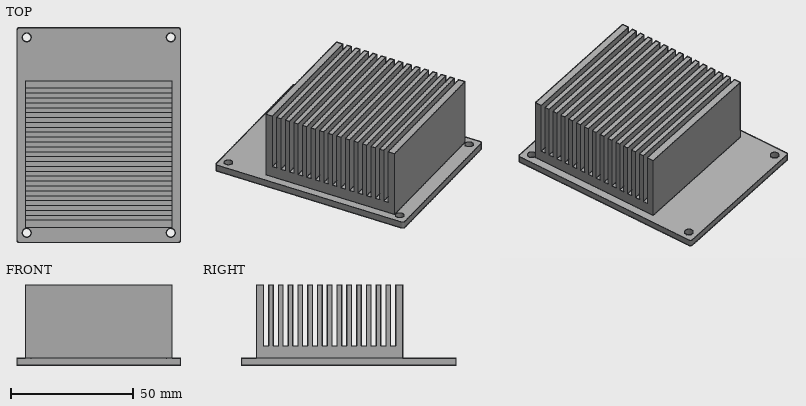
import cadquery as cq

plate_width = 67.0
plate_length = 88.0
plate_thickness = 3.0
corner_radius = 1.0

hole_diameter = 3.5
hole_spacing_x = 59.0
hole_spacing_y = 80.0

total_height = 33.0
block_side = 60.0
block_front_margin = 6.2
end_fin_thickness = 3.0
slot_count = 14
slot_depth = 25.0

inner_fin_count = slot_count - 1
slot_width = (block_side - 2 * end_fin_thickness) / (slot_count + inner_fin_count)
slot_pitch = 2 * slot_width

block_height = total_height - plate_thickness
block_front_y = block_front_margin - plate_length / 2
block_center_y = block_front_y + block_side / 2


def make_plate():
    """Rounded plate resting on Z = 0 with a through hole near each corner."""
    return (
        cq.Workplane("XY")
        .box(plate_width, plate_length, plate_thickness, centered=(True, True, False))
        .edges("|Z")
        .fillet(corner_radius)
        .faces(">Z")
        .workplane()
        .rect(hole_spacing_x, hole_spacing_y, forConstruction=True)
        .vertices()
        .hole(hole_diameter)
    )


def make_finned_block():
    """Block on top of the plate, cut by evenly spaced slots along X."""
    block = (
        cq.Workplane("XY", origin=(0, block_center_y, plate_thickness))
        .box(block_side, block_side, block_height, centered=(True, True, False))
    )
    slots = (
        cq.Workplane("XY", origin=(0, block_center_y, total_height))
        .rarray(0.9, slot_pitch, 1, slot_count)
        .rect(block_side, slot_width)
        .extrude(-slot_depth)
    )
    return block.cut(slots)


result = make_plate().union(make_finned_block())